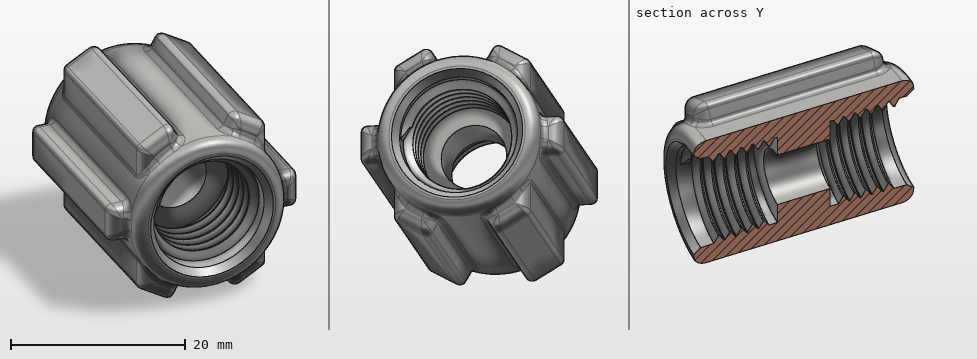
import cadquery as cq
import math


axis_start, axis_end = (0, 0, 0), (1, 0, 0)

length = 27.7
half_length = length / 2
barrel_radius = 9.5
barrel_edge_round = 1.55

rib_length = 23.75
rib_span = 23.62
rib_width = 4.57
rib_reach = rib_span / 2
rib_half_width = rib_width / 2
rib_base_reach = 6.65
diagonal_reach = 7.92
diagonal_angle = 60.0
rib_end_round = 1.52
rib_edge_round = 0.75
rib_root_round = 0.78
block_size = 2 * rib_span

web_hole_diameter = 7.61
mouth_radius = 7.65
throat_radius = 6.87
throat_depth = 0.89
socket_depth = 10.52
taper = 1 / 32

thread_pitch = 1.4
thread_height = 0.97
thread_flank_angle = 30.0
crest_width = 0.17
ridge_embed = 0.05
thread_start_depth = 2.13
thread_end_depth = socket_depth - thread_pitch / 2
lead_in_rise = 1.52


def rounded_block(normal_angle, face_reach):
    """Block whose face along normal_angle is rounded off at both X ends."""
    return (
        cq.Workplane("XY")
        .box(rib_length, block_size, block_size)
        .translate((0, face_reach - block_size / 2, 0))
        .edges(">Y and |Z")
        .fillet(rib_end_round)
        .rotate(axis_start, axis_end, normal_angle)
    )


def make_rib(far_flank_angle, far_flank_reach):
    """Rib pointing along +Y; the far flank is set by its normal and its distance from the axis."""
    rib = rounded_block(0, rib_reach)
    rib = rib.intersect(rounded_block(90, rib_half_width))
    rib = rib.intersect(rounded_block(far_flank_angle, far_flank_reach))
    outer_side = cq.Workplane("XY").box(block_size, block_size, block_size)
    outer_side = outer_side.translate((0, rib_base_reach + block_size / 2, 0))
    rib = rib.intersect(outer_side)
    return rib.faces(">Y").edges("|X").fillet(rib_edge_round)


def is_rib_root(edge):
    """True for edges where a rib meets the barrel."""
    tolerance = 0.0003
    middle = edge.positionAt(0.5)
    on_barrel = abs(math.hypot(middle.y, middle.z) - barrel_radius) < tolerance
    return on_barrel and abs(middle.x) < rib_length / 2 + tolerance


def make_body():
    body = cq.Workplane("YZ").circle(barrel_radius).extrude(half_length, both=True)
    body = body.edges().fillet(barrel_edge_round)
    side_rib = make_rib(-90, rib_half_width)
    diagonal_rib = make_rib(-diagonal_angle, diagonal_reach)
    diagonal_rib = diagonal_rib.rotate(axis_start, axis_end, diagonal_angle)
    for rib in (side_rib, diagonal_rib, diagonal_rib.mirror("XY")):
        body = body.union(rib).union(rib.mirror("XZ"))
    root_edges = [edge for edge in body.edges().vals() if is_rib_root(edge)]
    return body.newObject(root_edges).fillet(rib_root_round)


def wall_radius_at(depth):
    """Radius of the tapered socket wall."""
    return throat_radius - taper * (depth - throat_depth)


def make_plain_socket():
    """Solid that opens the -X end down to the web, before the thread is taken off it."""
    return (
        cq.Workplane("XY")
        .moveTo(-half_length, 0)
        .lineTo(-half_length, mouth_radius)
        .lineTo(-half_length + throat_depth, throat_radius)
        .lineTo(-half_length + socket_depth, wall_radius_at(socket_depth))
        .lineTo(-half_length + socket_depth, 0)
        .close()
        .revolve(360, axis_start, axis_end)
    )


def make_thread_ridge():
    """Right-hand tapered ridge for the -X socket, starting on the +Y side."""
    wall_radius = wall_radius_at(thread_start_depth)
    crest_radius = wall_radius - thread_height
    base_radius = wall_radius + ridge_embed
    flank_slope = math.tan(math.radians(thread_flank_angle))
    base_half_width = crest_width / 2 + (thread_height + ridge_embed) * flank_slope

    helix = cq.Wire.makeHelix(
        thread_pitch,
        thread_end_depth - thread_start_depth,
        wall_radius,
        angle=-math.degrees(math.atan(taper)),
    )
    ridge = (
        cq.Workplane("XZ")
        .moveTo(base_radius, -base_half_width)
        .lineTo(crest_radius, -crest_width / 2)
        .lineTo(crest_radius, crest_width / 2)
        .lineTo(base_radius, base_half_width)
        .close()
        .sweep(cq.Workplane(obj=helix), isFrenet=True)
        .rotate((0, 0, 0), (0, 1, 0), 90)
        .rotate(axis_start, axis_end, 90)
        .translate((thread_start_depth - half_length, 0, 0))
    )

    first_turn_end = thread_start_depth + thread_pitch / 2
    lead_in = (
        cq.Workplane("YZ", origin=(-half_length, 0, 0))
        .moveTo(base_radius, 0)
        .lineTo(crest_radius, lead_in_rise)
        .lineTo(crest_radius - thread_height, lead_in_rise)
        .lineTo(crest_radius - thread_height, -ridge_embed)
        .lineTo(base_radius, -ridge_embed)
        .close()
        .extrude(first_turn_end)
    )
    return ridge.cut(lead_in)


threaded_socket = make_plain_socket().cut(make_thread_ridge())
web_hole = cq.Workplane("YZ").circle(web_hole_diameter / 2).extrude(half_length, both=True)

result = make_body().cut(web_hole)
for turn in (0, 180):
    result = result.cut(threaded_socket.rotate((0, 0, 0), (0, 0, 1), turn))